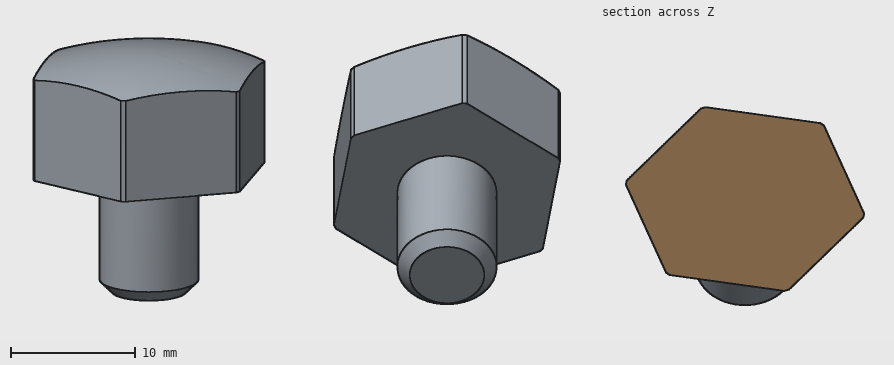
import cadquery as cq
import math

ACROSS_FLATS = 17.0
CORNER_DIAMETER = 19.4
HEAD_HEIGHT = 10.0
DOME_RADIUS = 30.0

SHANK_DIAMETER = 8.0
SHANK_LENGTH = 10.0
TIP_CHAMFER = 1.0


def make_head():
    """Hexagonal head standing on Z = 0, with two corners on the X axis."""
    sharp_corner_diameter = ACROSS_FLATS / math.cos(math.radians(30))
    hexagon = cq.Workplane("XY").polygon(6, sharp_corner_diameter).extrude(HEAD_HEIGHT)

    corner_radius = CORNER_DIAMETER / 2
    dome_center_z = HEAD_HEIGHT - DOME_RADIUS
    rim_z = dome_center_z + math.sqrt(DOME_RADIUS**2 - corner_radius**2)
    mid_angle = math.asin(corner_radius / DOME_RADIUS) / 2
    dome_mid_point = (
        DOME_RADIUS * math.sin(mid_angle),
        dome_center_z + DOME_RADIUS * math.cos(mid_angle),
    )
    envelope = (
        cq.Workplane("XZ")
        .lineTo(corner_radius, 0)
        .lineTo(corner_radius, rim_z)
        .threePointArc(dome_mid_point, (0, HEAD_HEIGHT))
        .close()
        .revolve(360, (0, 0), (0, 1))
    )
    return hexagon.intersect(envelope)


def make_shank():
    """Plain round shank hanging below the head, chamfered at its tip."""
    shank = cq.Workplane("XY").circle(SHANK_DIAMETER / 2).extrude(-SHANK_LENGTH)
    return shank.faces("<Z").chamfer(TIP_CHAMFER)


result = make_head().union(make_shank())